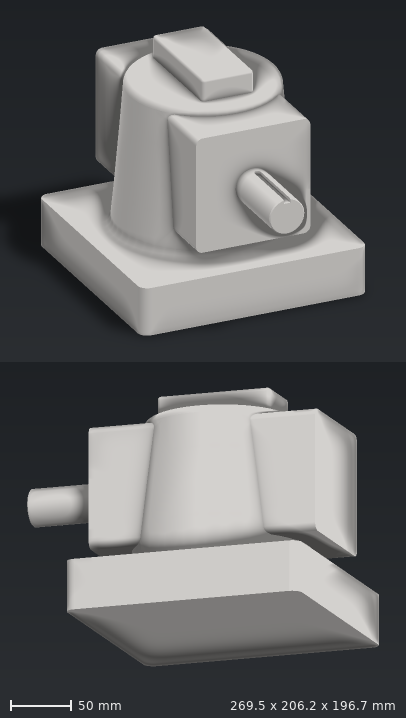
import cadquery as cq
import math

base_side = 206.2
base_height = 43.0
base_corner_radius = 8.5

housing_top_z = 176.5
housing_base_radius = 77.3
housing_taper = 5.0
housing_fillet = 8.0

block_length = 199.0
block_side = 104.0
block_edge_radius = 6.0
axis_z = 116.5

cap_length = 99.2
cap_width = 47.2
cap_top_z = 196.7
cap_edge_radius = 3.0

overall_length = 269.5
shaft_end_x = overall_length - base_side / 2
shaft_diameter = 32.0
shaft_chamfer = 0.8
key_width = 6.0
key_length = 61.2
key_depth = 4.0


def make_base():
    plate = cq.Workplane("XY").rect(base_side, base_side).extrude(base_height)
    return plate.edges("|Z").fillet(base_corner_radius)


def make_housing():
    """Cone with a rounded top rim and a concave fillet where it meets the base."""
    taper = math.radians(housing_taper)
    top_radius = housing_base_radius - (housing_top_z - base_height) * math.tan(taper)
    turn = math.pi / 2 - taper
    tangent = housing_fillet * math.tan(turn / 2)
    along_r = tangent * math.sin(taper)
    along_z = tangent * math.cos(taper)
    foot_outer = (housing_base_radius + tangent, base_height)
    foot_inner = (housing_base_radius - along_r, base_height + along_z)
    rim_outer = (top_radius + along_r, housing_top_z - along_z)
    rim_inner = (top_radius - tangent, housing_top_z)
    profile = (
        cq.Workplane("XZ")
        .moveTo(0, base_height)
        .lineTo(*foot_outer)
        .threePointArc(arc_middle(foot_outer[0], base_height + housing_fillet, turn, -1), foot_inner)
        .lineTo(*rim_outer)
        .threePointArc(arc_middle(rim_inner[0], housing_top_z - housing_fillet, turn, 1), rim_inner)
        .lineTo(0, housing_top_z)
        .close()
    )
    return profile.revolve(360, (0, 0), (0, 1))


def arc_middle(centre_r, centre_z, turn, side):
    """Middle of a fillet arc: side is 1 for the convex rim, -1 for the concave foot."""
    half = turn / 2
    return (
        centre_r + side * housing_fillet * math.sin(half),
        centre_z + side * housing_fillet * math.cos(half),
    )


def make_block():
    block = cq.Workplane("XY").box(block_length, block_side, block_side)
    return block.edges("|X").fillet(block_edge_radius).translate((0, 0, axis_z))


def make_cap():
    cap = (
        cq.Workplane("XY", origin=(0, 0, housing_top_z))
        .rect(cap_length, cap_width)
        .extrude(cap_top_z - housing_top_z)
    )
    return cap.edges("|Z or >Z").fillet(cap_edge_radius)


def make_shaft():
    shaft = (
        cq.Workplane("YZ", origin=(0, 0, axis_z))
        .circle(shaft_diameter / 2)
        .extrude(shaft_end_x)
        .faces(">X")
        .chamfer(shaft_chamfer)
    )
    keyway = (
        cq.Workplane("XY", origin=(shaft_end_x, 0, axis_z + shaft_diameter / 2 - key_depth))
        .slot2D(2 * key_length, key_width)
        .extrude(2 * key_depth)
    )
    return shaft.cut(keyway)


result = make_base().union(make_housing()).union(make_block()).union(make_cap()).union(make_shaft())